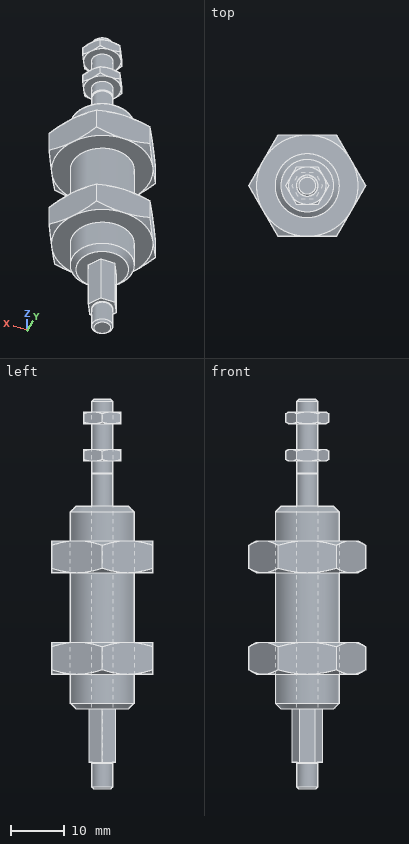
import cadquery as cq
import math

TIP_LENGTH = 5.0
HEX_LENGTH = 10.0
BARREL_LENGTH = 38.0
ROD_EXPOSED_LENGTH = 20.0
BARREL_BOTTOM = TIP_LENGTH + HEX_LENGTH
BARREL_TOP = BARREL_BOTTOM + BARREL_LENGTH
ROD_TOP = BARREL_TOP + ROD_EXPOSED_LENGTH

HEX_SIDES = 6
HEX_HALF_ANGLE = 180.0 / HEX_SIDES

ROD_DIAMETER = 4.0
ROD_HEX_FLATS = 5.0
ROD_END_CHAMFER = 0.42
UPPER_THREAD_LENGTH = 14.0
RELIEF_WIDTH = 0.2
RELIEF_DEPTH = 0.1
RELIEF_BOTTOMS = [TIP_LENGTH - RELIEF_WIDTH, ROD_TOP - UPPER_THREAD_LENGTH]

BARREL_DIAMETER = 12.0
BARREL_CHAMFER = 1.08

NUT_CHAMFER_ANGLE = 30.0
BARREL_NUT_FLATS = 19.0
BARREL_NUT_THICKNESS = 6.0
BARREL_NUT_INSET = 6.5
BARREL_NUT_BOTTOMS = [
    BARREL_BOTTOM + BARREL_NUT_INSET,
    BARREL_TOP - BARREL_NUT_INSET - BARREL_NUT_THICKNESS,
]
ROD_NUT_FLATS = 7.0
ROD_NUT_THICKNESS = 2.2
ROD_NUT_SPACING = 7.0
ROD_NUT_TOP_GAP = 2.4
UPPER_ROD_NUT_BOTTOM = ROD_TOP - ROD_NUT_TOP_GAP - ROD_NUT_THICKNESS
ROD_NUT_BOTTOMS = [UPPER_ROD_NUT_BOTTOM - ROD_NUT_SPACING, UPPER_ROD_NUT_BOTTOM]


def across_corners(flats):
    """Corner-to-corner size of a regular hexagon from its size across flats."""
    return flats / math.cos(math.radians(HEX_HALF_ANGLE))


def hex_prism(flats, height, bottom):
    """Hexagonal prism with corners on the X axis."""
    return cq.Workplane("XY").workplane(offset=bottom).polygon(HEX_SIDES, across_corners(flats)).extrude(height)


def make_nut(flats, thickness, hole_diameter, bottom):
    """Hex nut whose corners are cut back by a cone at both faces."""
    face_radius = flats / 2
    corner_radius = across_corners(flats) / 2
    corner_drop = (corner_radius - face_radius) * math.tan(math.radians(NUT_CHAMFER_ANGLE))
    envelope = (
        cq.Workplane("XZ")
        .moveTo(0, bottom)
        .lineTo(face_radius, bottom)
        .lineTo(corner_radius, bottom + corner_drop)
        .lineTo(corner_radius, bottom + thickness - corner_drop)
        .lineTo(face_radius, bottom + thickness)
        .lineTo(0, bottom + thickness)
        .close()
        .revolve(360, (0, 0), (0, 1))
    )
    hole = cq.Workplane("XY").workplane(offset=bottom).circle(hole_diameter / 2).extrude(thickness)
    return hex_prism(flats, thickness, bottom).intersect(envelope).cut(hole)


def make_relief(bottom):
    """Ring that cuts a shallow relief groove around the rod."""
    return (
        cq.Workplane("XY")
        .workplane(offset=bottom)
        .circle(ROD_DIAMETER / 2)
        .circle(ROD_DIAMETER / 2 - RELIEF_DEPTH)
        .extrude(RELIEF_WIDTH)
    )


def make_rod():
    """Plunger rod: round bar with chamfered ends, a hex length below the barrel and thread-end reliefs."""
    rod = cq.Workplane("XY").circle(ROD_DIAMETER / 2).extrude(ROD_TOP)
    rod = rod.faces("<Z or >Z").chamfer(ROD_END_CHAMFER)
    rod = rod.union(hex_prism(ROD_HEX_FLATS, HEX_LENGTH, TIP_LENGTH))
    for bottom in RELIEF_BOTTOMS:
        rod = rod.cut(make_relief(bottom))
    return rod


def make_barrel():
    """Guide barrel: chamfered cylinder bored through for the rod."""
    outside = (
        cq.Workplane("XY")
        .workplane(offset=BARREL_BOTTOM)
        .circle(BARREL_DIAMETER / 2)
        .extrude(BARREL_LENGTH)
        .faces("<Z or >Z")
        .chamfer(BARREL_CHAMFER)
    )
    bore = cq.Workplane("XY").workplane(offset=BARREL_BOTTOM).circle(ROD_DIAMETER / 2).extrude(BARREL_LENGTH)
    return outside.cut(bore)


rod = make_rod()
barrel = make_barrel()
barrel_nuts = [
    make_nut(BARREL_NUT_FLATS, BARREL_NUT_THICKNESS, BARREL_DIAMETER, bottom)
    for bottom in BARREL_NUT_BOTTOMS
]
rod_nuts = [
    make_nut(ROD_NUT_FLATS, ROD_NUT_THICKNESS, ROD_DIAMETER, bottom)
    for bottom in ROD_NUT_BOTTOMS
]

result = cq.Compound.makeCompound(
    [rod.val(), barrel.val(), *[nut.val() for nut in barrel_nuts], *[nut.val() for nut in rod_nuts]]
)